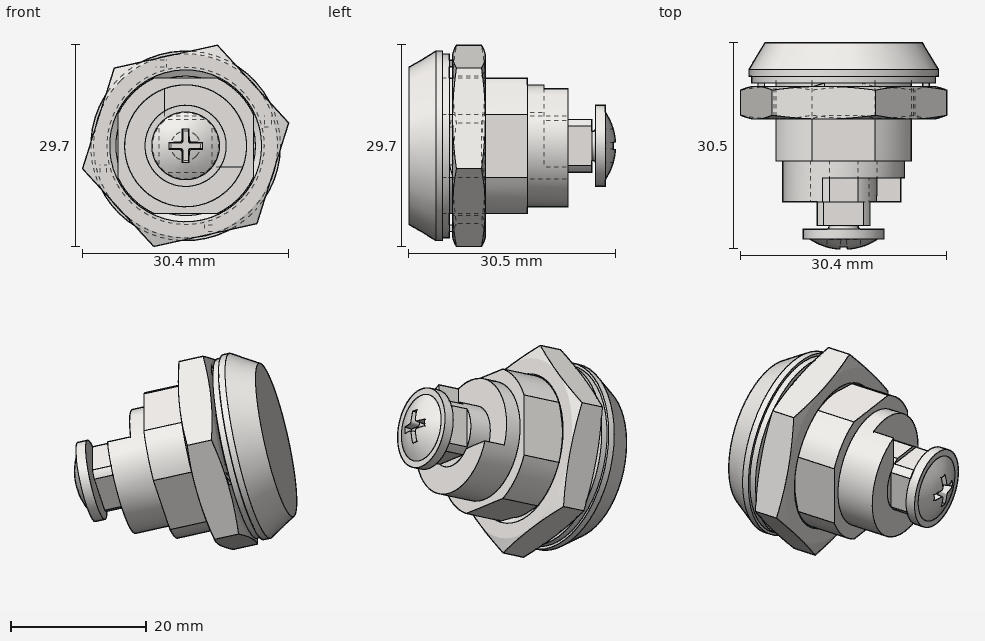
import cadquery as cq
import math


head_back_diameter = 23.2
head_diameter = 28.0
head_cone_end = 4.0
head_end = 5.0
shank_diameter = 22.05
shank_flat_width = 20.0
shank_end = 17.5

gasket_diameter = 27.18
gasket_end = 5.98

nut_width = 27.0
nut_turn = 12.5
nut_start = 6.47
nut_end = 11.3
nut_bevel_angle = 15
nut_bore_diameter = 20.6
nut_bore_mouth_diameter = 22.42
nut_bore_mouth_angle = 30
tooth_count = 4
tooth_inner_distance = 11.65
tooth_thickness = 1.0
tooth_offset = 2.8
tooth_length = 1.6

plate_diameter = 18.0
plate_step = 19.98
plate_end = 23.52
plate_wall_offset = 3.15

spindle_diameter = 9.8
boss_flat_height = 4.42
square_width = 7.85
square_end = 27.02

neck_diameter = 4.35
neck_fillet = 0.3
flange_diameter = 12.0
flange_start = 27.5
flange_end = 29.0
dome_diameter = 10.0
dome_tip = 30.53
recess_span = 4.9
recess_depth = 1.5
recess_top_width = 1.1
recess_floor_width = 0.8
recess_corner_radius = 0.4


def disc(diameter, start, end):
    """Solid cylinder on the axis between two depths."""
    return cq.Workplane("XZ", origin=(0, -start, 0)).circle(diameter / 2).extrude(end - start)


def block(width, height, start, end):
    """Rectangular block centred on the axis between two depths."""
    return cq.Workplane("XZ", origin=(0, -start, 0)).rect(width, height).extrude(end - start)


def revolve_profile(points):
    """Solid of revolution from (radius, depth) points."""
    outline = [(radius, -depth) for radius, depth in points]
    return cq.Workplane("XY").polyline(outline).close().revolve(360, (0, 0, 0), (0, 1, 0))


def make_shank(start, end):
    """Round bar with four flats, used for the housing and for the holes around it."""
    return disc(shank_diameter, start, end).intersect(
        block(shank_flat_width, shank_flat_width, start, end)
    )


def make_housing():
    head = revolve_profile([
        (0, 0),
        (head_back_diameter / 2, 0),
        (head_diameter / 2, head_cone_end),
        (head_diameter / 2, head_end),
        (0, head_end),
    ])
    return head.union(make_shank(head_end, shank_end))


def make_gasket():
    return disc(gasket_diameter, head_end, gasket_end).cut(make_shank(head_end, gasket_end))


def make_nut_tooth():
    """Straight ramp on the rear face of the nut, rising to an upright face at the gasket."""
    return (
        cq.Workplane("YZ", origin=(tooth_inner_distance, 0, 0))
        .polyline([
            (-nut_start, tooth_offset),
            (-gasket_end, tooth_offset),
            (-nut_start, tooth_offset + tooth_length),
        ])
        .close()
        .extrude(tooth_thickness)
    )


def make_nut():
    face_radius = nut_width / 2
    corner_radius = face_radius / math.cos(math.radians(30))
    bevel_depth = (corner_radius - face_radius) * math.tan(math.radians(nut_bevel_angle))
    hexagon = (
        cq.Workplane("XZ", origin=(0, -nut_start, 0))
        .polygon(6, 2 * corner_radius)
        .extrude(nut_end - nut_start)
    )
    bevels = revolve_profile([
        (0, nut_start),
        (face_radius, nut_start),
        (corner_radius, nut_start + bevel_depth),
        (corner_radius, nut_end - bevel_depth),
        (face_radius, nut_end),
        (0, nut_end),
    ])
    nut = hexagon.intersect(bevels).rotate((0, 0, 0), (0, 1, 0), -nut_turn)
    for index in range(tooth_count):
        angle = 360 / tooth_count * index
        nut = nut.union(make_nut_tooth().rotate((0, 0, 0), (0, 1, 0), angle))

    bore_radius = nut_bore_diameter / 2
    mouth_radius = nut_bore_mouth_diameter / 2
    mouth_depth = (mouth_radius - bore_radius) * math.tan(math.radians(nut_bore_mouth_angle))
    bore = revolve_profile([
        (0, nut_start),
        (bore_radius, nut_start),
        (bore_radius, nut_end - mouth_depth),
        (mouth_radius, nut_end),
        (0, nut_end),
    ])
    return nut.cut(bore).cut(make_shank(nut_start, nut_end))


def make_boss():
    """Round boss with a flat on its +Z side, turning in the bore of the stop plate."""
    flat_cut = (
        block(spindle_diameter, spindle_diameter, shank_end, plate_end)
        .translate((0, 0, boss_flat_height + spindle_diameter / 2))
    )
    return disc(spindle_diameter, shank_end, plate_end).cut(flat_cut)


def make_stop_plate():
    stepped_quadrant = (
        block(plate_diameter, plate_diameter, plate_step, plate_end)
        .translate((
            plate_diameter / 2 - plate_wall_offset,
            0,
            plate_diameter / 2 - plate_wall_offset,
        ))
    )
    bore = disc(spindle_diameter, shank_end, plate_end)
    return disc(plate_diameter, shank_end, plate_end).cut(stepped_quadrant).cut(bore)


def make_spindle():
    square = block(square_width, square_width, plate_end, square_end).intersect(
        disc(spindle_diameter, plate_end, square_end)
    )
    return make_boss().union(square)


def make_cross_recess():
    """Cross with drafted arm sides and rounded inner corners."""
    floor = dome_tip - recess_depth
    arm = (
        cq.Workplane("XY")
        .polyline([
            (-recess_floor_width / 2, -floor),
            (recess_floor_width / 2, -floor),
            (recess_top_width / 2, -dome_tip),
            (-recess_top_width / 2, -dome_tip),
        ])
        .close()
        .extrude(recess_span / 2, both=True)
    )
    cross = arm.union(arm.rotate((0, 0, 0), (0, 1, 0), 90))
    inner_corners = cq.selectors.BoxSelector(
        (-recess_top_width, -dome_tip, -recess_top_width),
        (recess_top_width, -floor, recess_top_width),
    )
    return cross.edges("not #Y").edges(inner_corners).fillet(recess_corner_radius)


def make_screw():
    neck_radius = neck_diameter / 2
    dome_radius = dome_diameter / 2
    dome_height = dome_tip - flange_end
    sphere_radius = (dome_radius ** 2 + dome_height ** 2) / (2 * dome_height)
    sphere_centre = dome_tip - sphere_radius
    half_angle = math.asin(dome_radius / sphere_radius) / 2
    dome_middle = (
        sphere_radius * math.sin(half_angle),
        -(sphere_centre + sphere_radius * math.cos(half_angle)),
    )
    fillet_bulge = neck_fillet * (1 - math.sqrt(0.5))
    body = (
        cq.Workplane("XY")
        .moveTo(0, -square_end)
        .lineTo(neck_radius, -square_end)
        .lineTo(neck_radius, -(flange_start - neck_fillet))
        .threePointArc(
            (neck_radius + fillet_bulge, -(flange_start - fillet_bulge)),
            (neck_radius + neck_fillet, -flange_start),
        )
        .lineTo(flange_diameter / 2, -flange_start)
        .lineTo(flange_diameter / 2, -flange_end)
        .lineTo(dome_radius, -flange_end)
        .threePointArc(dome_middle, (0, -dome_tip))
        .close()
        .revolve(360, (0, 0, 0), (0, 1, 0))
    )
    return body.cut(make_cross_recess())


housing = make_housing()
gasket = make_gasket()
nut = make_nut()
stop_plate = make_stop_plate()
spindle = make_spindle()
screw = make_screw()

result = cq.Compound.makeCompound([
    housing.val(),
    gasket.val(),
    nut.val(),
    stop_plate.val(),
    spindle.val(),
    screw.val(),
])